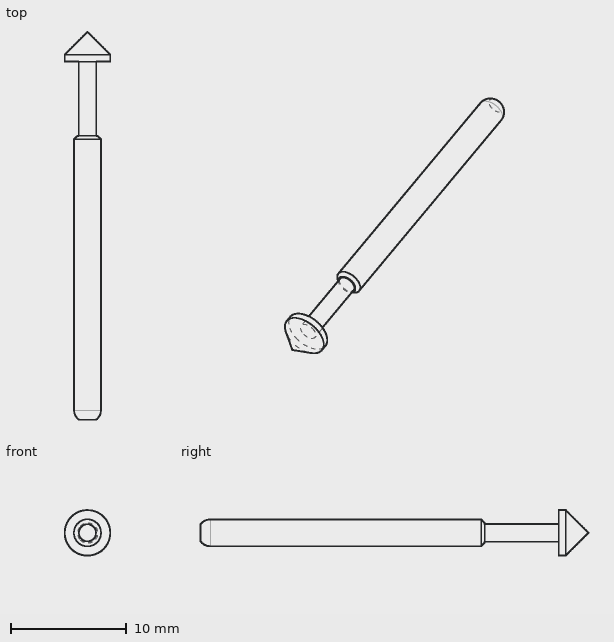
import cadquery as cq

total_length = 33.6
head_radius = 1.98
cone_length = head_radius
rim_length = 0.6
neck_radius = 0.77
neck_length = 6.42
shaft_radius = 1.18
shoulder_chamfer = 0.3
end_face_radius = 0.75
end_rounding_length = 0.85

cone_base_y = total_length - cone_length
head_back_y = cone_base_y - rim_length
shoulder_y = head_back_y - neck_length

end_drop = shaft_radius - end_face_radius
end_arc_radius = (end_rounding_length**2 + end_drop**2) / (2 * end_drop)
arc_mid_y = end_rounding_length / 2
arc_mid_radius = (
    shaft_radius - end_arc_radius
    + (end_arc_radius**2 - (end_rounding_length - arc_mid_y)**2) ** 0.5
)

profile = (
    cq.Workplane("XY")
    .moveTo(0, 0)
    .lineTo(end_face_radius, 0)
    .threePointArc((arc_mid_radius, arc_mid_y), (shaft_radius, end_rounding_length))
    .lineTo(shaft_radius, shoulder_y - shoulder_chamfer)
    .lineTo(shaft_radius - shoulder_chamfer, shoulder_y)
    .lineTo(neck_radius, shoulder_y)
    .lineTo(neck_radius, head_back_y)
    .lineTo(head_radius, head_back_y)
    .lineTo(head_radius, cone_base_y)
    .lineTo(0, total_length)
    .close()
)

result = profile.revolve(360, (0, 0, 0), (0, 1, 0))